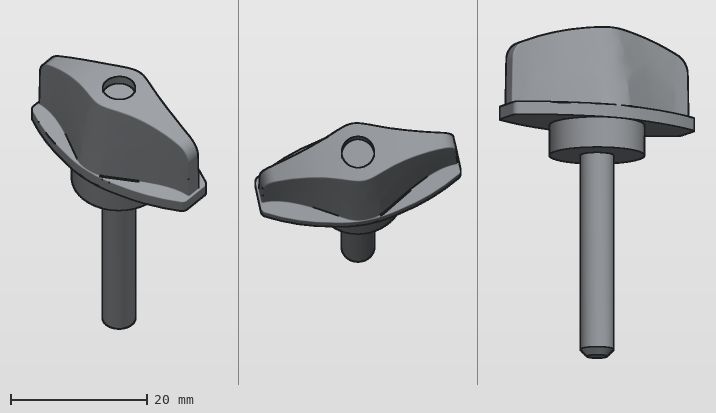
import cadquery as cq
import math

total_height = 48.5
collar_bottom = 30.0
flange_bottom = 34.55
flange_thickness = 1.95
flange_top = flange_bottom + flange_thickness
wing_height = total_height - flange_top

shaft_diameter = 5.0
shaft_tip_chamfer = 1.0
collar_diameter = 14.0

flange_length = 30.0
flange_width = collar_diameter
flange_joint = (5.0, 6.35)
flange_side_mid = (9.7, 5.05)
flange_corner = (flange_length / 2, 2.5)
flange_corner_radius = 1.0

wing_base_half_length = 14.7
wing_end_draft = 1.2
wing_end_half_thickness = 1.15
crest_base_radius = 6.85
crest_top_radius = 4.5
waist_base_radius = 21.82
waist_top_radius = 33.0
wing_stations = [-1, -0.6, -0.3, -0.15, 0, 0.15, 0.3, 0.6, 1]
crown_radius = 32.5
shoulder_radius = 3.0

rim_radius = 0.2
root_radius = 0.15
flange_edge_radius = 0.15

recess_diameter = 4.8
recess_depth = 1.5


def mirror_point(point, sign_x, sign_y):
    return (sign_x * point[0], sign_y * point[1])


def shaft_and_collar():
    shaft = (
        cq.Workplane("XY")
        .circle(shaft_diameter / 2)
        .extrude(flange_bottom)
        .faces("<Z")
        .chamfer(shaft_tip_chamfer)
    )
    collar = (
        cq.Workplane("XY", origin=(0, 0, collar_bottom))
        .circle(collar_diameter / 2)
        .extrude(flange_bottom - collar_bottom)
    )
    return shaft.union(collar)


def flange():
    outline = cq.Workplane("XY", origin=(0, 0, flange_bottom)).moveTo(*mirror_point(flange_joint, -1, 1))
    for side in (1, -1):
        outline = (
            outline.threePointArc((0, side * flange_width / 2), mirror_point(flange_joint, side, side))
            .threePointArc(
                mirror_point(flange_side_mid, side, side), mirror_point(flange_corner, side, side)
            )
            .lineTo(*mirror_point(flange_corner, side, -side))
            .threePointArc(
                mirror_point(flange_side_mid, side, -side), mirror_point(flange_joint, side, -side)
            )
        )
    plate = outline.close().extrude(flange_thickness)
    return plate.edges("|Z and (<X or >X)").fillet(flange_corner_radius)


def wing_half_thickness(x, half_length, crest_radius, waist_radius):
    """Half thickness at distance x from the middle: a round crest running into a hollow waist."""
    end_reach = math.hypot(half_length, wing_end_half_thickness)
    centre_reach = crest_radius + waist_radius
    spread_cosine = (centre_reach**2 + end_reach**2 - waist_radius**2) / (2 * centre_reach * end_reach)
    centre_angle = math.atan2(wing_end_half_thickness, half_length) + math.acos(spread_cosine)
    if x <= crest_radius * math.cos(centre_angle):
        return math.sqrt(crest_radius**2 - x**2)
    centre_x = centre_reach * math.cos(centre_angle)
    centre_y = centre_reach * math.sin(centre_angle)
    return centre_y - math.sqrt(waist_radius**2 - (x - centre_x) ** 2)


def wing_outline(work, half_length, crest_radius, waist_radius):
    """Draw two mirrored crest-and-waist sides joined by thin flat ends."""
    side_points = []
    for station in wing_stations:
        x = station * half_length
        side_points.append((x, wing_half_thickness(abs(x), half_length, crest_radius, waist_radius)))
    parameters = [(1 + station) / 2 for station in wing_stations]
    end = (half_length, wing_end_half_thickness)

    work = work.moveTo(*mirror_point(end, -1, 1))
    work = work.spline(side_points[1:], parameters=parameters, includeCurrent=True)
    work = work.lineTo(*mirror_point(end, 1, -1))
    opposite_points = [mirror_point(point, -1, -1) for point in side_points]
    work = work.spline(opposite_points[1:], parameters=parameters, includeCurrent=True)
    return work.close()


def wing():
    top_half_length = wing_base_half_length - wing_height * math.tan(math.radians(wing_end_draft))
    base = wing_outline(
        cq.Workplane("XY", origin=(0, 0, flange_top)),
        wing_base_half_length,
        crest_base_radius,
        waist_base_radius,
    )
    body = wing_outline(
        base.workplane(offset=wing_height), top_half_length, crest_top_radius, waist_top_radius
    ).loft(ruled=True)
    crown = (
        cq.Workplane("XZ", origin=(0, 0, total_height - crown_radius))
        .circle(crown_radius)
        .extrude(flange_width, both=True)
    )
    body = body.intersect(crown)
    body = body.edges("|Y and (not <Z)").fillet(shoulder_radius)
    return body.edges("(not |Y) and (not <Z)").fillet(rim_radius)


def grip():
    """Join wing and flange, then round the wing's root and the flange's outer top edge."""
    body = flange().union(wing())
    flange_face = body.faces("+Z").val()
    root_edges = flange_face.innerWires()[0].Edges()
    body = body.newObject(root_edges).fillet(root_radius)

    flange_face = body.faces("+Z").val()
    outer_edges = [edge for edge in flange_face.outerWire().Edges() if abs(edge.Center().x) > flange_joint[0]]
    return body.newObject(outer_edges).fillet(flange_edge_radius)


def crown_recess():
    return (
        cq.Workplane("XY", origin=(0, 0, total_height - recess_depth))
        .circle(recess_diameter / 2)
        .extrude(recess_depth)
    )


result = shaft_and_collar().union(grip()).cut(crown_recess())